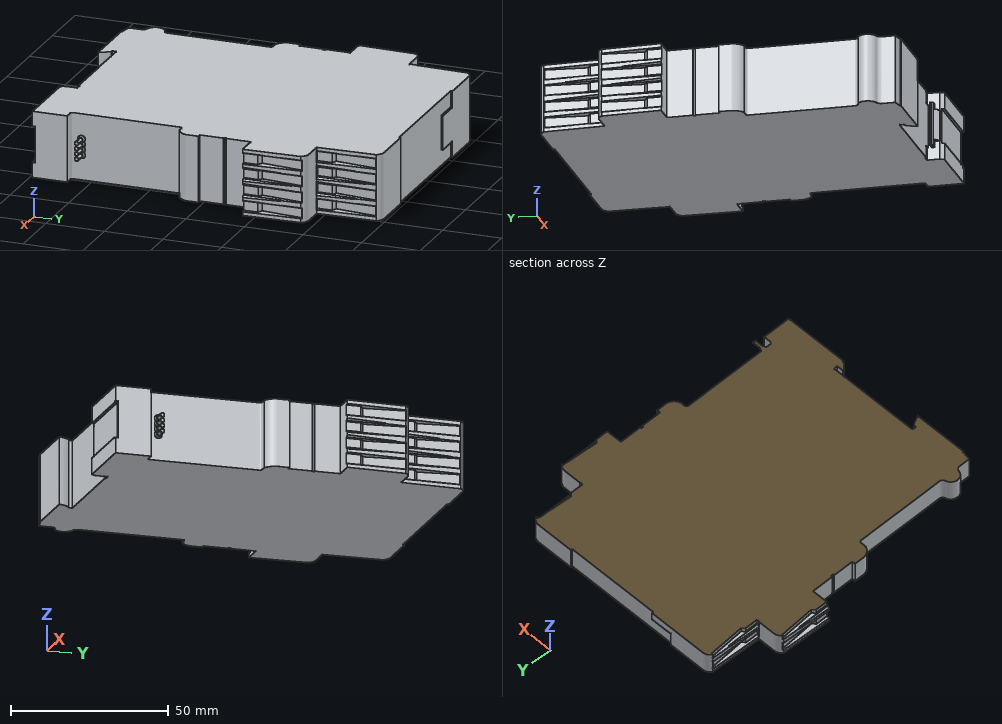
import cadquery as cq

thickness = 22.5
mid_z = thickness / 2
housing_top = 117.4
neck_half = 39.3
head_half = 43.7
shoulder_half = 45.0
shoulder_top = 57.6
shoulder_bottom = 49.9
shoulder_run, shoulder_drop = 2.8, 3.4
shoulder_radius = 4.7
inner_fillet = 0.7
groove_low, groove_high = 65.6, 66.4
groove_depth = 0.5

block_top = 118.0
tier_top = 96.3
block_bottom = 74.9
upper_half = 40.7
block_width = 101.8
lower_half = block_width / 2
tier_lean = 0.6
corner_drop = 1.7
corner_run = 2.8
corner_mid_drop = 0.5
corner_mid_run = 1.2
seat_bottom = 75.4
seat_mid = 96.6
seat_top = 116.2
seat_outer_half = 34.7
seat_inner_half = 24.9
cover_half = 22.7

slot_centers = (3.2, 8.5, thickness - 8.5, thickness - 3.2)
slot_half = 1.9
slot_length = 20.1
slot_ramp_end = 14.0
slot_step_end = 15.1
slot_start_depth = 1.2
slot_ramp_depth = 2.1
slot_end_depth = 1.0
slot_draft = 0.41
slot_tops = (116.2, 94.9)
flare_width = 0.5
flare_depth = 1.1
flare_near, flare_far = 3.4, 7.2

rail_ceiling = 5.2
rail_left = -17.7
rail_right = 17.7
hook_tip = -15.0
hook_top = 3.8
hook_curve = 0.7
hook_undercut = 1.9
lead_in = 0.8
lead_in_height = 1.4

bump_tip_half = 43.0
bump_root_half = 40.4
bump_y = 9.8
bump_half = 3.1
bump_blend = 1.3
bump_blend_sag = 0.2
foot_half = 42.8
foot_top = 11.9
toe_run, toe_rise = 3.8, 1.0
toe_step = 0.2

latch_width = 11.6
latch_recess = 0.8
latch_end = 42.0
latch_gap_depth = 1.0
latch_gap_margin = 0.4
catch_tip = 15.1
catch_top, catch_low = 3.9, 3.4
catch_root = 1.0
catch_width = 10.3
ear_width = 14.4
ear_bottom = 3.0
catch_notch_left = 15.3
catch_notch_top = 5.5

pin_diameter = 1.3
collar_diameter = 1.7
collar_root_diameter = 2.5
pin_y = 15.5
pin_tip = 43.7
collar_length = 1.0
pin_count = 4
pin_pitch = 1.8

lip_end = -14.2
lip_width = latch_width


def box(x0, x1, y0, y1, z0, z1):
    """Axis-aligned box between two corners."""
    return cq.Workplane("XY").box(x1 - x0, y1 - y0, z1 - z0, centered=False).translate((x0, y0, z0))


def mid_box(x0, x1, y0, y1, width):
    """Box of the given width, centred across the thickness."""
    return box(x0, x1, y0, y1, mid_z - width / 2, mid_z + width / 2)


def prism(points, width):
    """XY polygon extruded symmetrically about mid thickness."""
    plane = cq.Workplane("XY").workplane(offset=mid_z - width / 2)
    return plane.polyline(points).close().extrude(width)


def mirrored(shape):
    return shape.mirror("YZ")


def upper_housing():
    """Symmetric upper part of the housing: cover, block seats, head and shoulders."""
    curve_start = (shoulder_half, shoulder_bottom + shoulder_drop)
    curve_end = (shoulder_half - shoulder_run, shoulder_bottom)
    half = (
        cq.Workplane("XY")
        .moveTo(0, housing_top)
        .lineTo(cover_half, housing_top)
        .lineTo(cover_half, seat_top)
        .lineTo(seat_inner_half, seat_top)
        .lineTo(seat_inner_half, seat_mid)
        .lineTo(seat_outer_half, seat_mid)
        .lineTo(seat_outer_half, seat_bottom)
        .lineTo(head_half, seat_bottom)
        .lineTo(head_half, shoulder_top)
        .lineTo(shoulder_half, shoulder_top)
        .lineTo(*curve_start)
        .radiusArc(curve_end, shoulder_radius)
        .lineTo(0, shoulder_bottom)
        .close()
        .extrude(thickness)
    )
    groove = box(head_half - groove_depth, shoulder_half, groove_low, groove_high, 0, thickness)
    half = half.cut(groove)
    return half.union(mirrored(half))


def lower_housing():
    """Neck, release bump, rail recess with its fixed hook, and foot."""
    blend_x = -neck_half - bump_blend_sag
    blend_y = bump_half + bump_blend / 2
    outline = (
        cq.Workplane("XY")
        .moveTo(-neck_half - inner_fillet, shoulder_bottom)
        .radiusArc((-neck_half, shoulder_bottom - inner_fillet), inner_fillet)
        .lineTo(-neck_half, bump_y + bump_half + bump_blend)
        .threePointArc((blend_x, bump_y + blend_y), (-bump_root_half, bump_y + bump_half))
        .threePointArc((-bump_tip_half, bump_y), (-bump_root_half, bump_y - bump_half))
        .threePointArc((blend_x, bump_y - blend_y), (-neck_half, bump_y - bump_half - bump_blend))
        .lineTo(-neck_half, toe_rise)
        .lineTo(-neck_half + toe_run, toe_step)
        .lineTo(-neck_half + toe_run, 0)
        .lineTo(hook_tip, 0)
        .threePointArc((hook_tip - hook_curve, hook_top / 2), (hook_tip - hook_undercut, hook_top))
        .lineTo(rail_left, hook_top)
        .lineTo(rail_left, rail_ceiling)
        .lineTo(rail_right, rail_ceiling)
        .lineTo(rail_right, lead_in_height)
        .lineTo(rail_right + lead_in, 0)
        .lineTo(foot_half, 0)
        .lineTo(foot_half, foot_top)
        .lineTo(neck_half + inner_fillet, foot_top)
        .radiusArc((neck_half, foot_top + inner_fillet), inner_fillet)
        .lineTo(neck_half, shoulder_bottom - inner_fillet)
        .radiusArc((neck_half + inner_fillet, shoulder_bottom), inner_fillet)
        .close()
    )
    return outline.extrude(thickness)


def latch_pockets():
    """Shallow latch track in the foot, the gap at its end and the notches beside the catch."""
    track = mid_box(rail_right, foot_half, 0, latch_recess, latch_width)
    gap = mid_box(latch_end, foot_half, 0, latch_gap_depth, latch_width + 2 * latch_gap_margin)
    notch = mid_box(catch_notch_left, rail_right, rail_ceiling, catch_notch_top, thickness)
    bridge = mid_box(catch_notch_left, rail_right, rail_ceiling, catch_notch_top, ear_width)
    return track.union(gap).union(notch.cut(bridge))


def latch_catch():
    """Wedge that snaps over the rail, with a flat ear on each side."""
    wedge = [
        (catch_tip, catch_top),
        (catch_tip, catch_low),
        (rail_right, catch_root),
        (rail_right, catch_top),
    ]
    ears = [
        (catch_tip, catch_top),
        (catch_tip, catch_low),
        (catch_tip + catch_low - ear_bottom, ear_bottom),
        (rail_right, ear_bottom),
        (rail_right, catch_top),
    ]
    return prism(wedge, catch_width).union(prism(ears, ear_width))


def contact_pin(z):
    """Round pin along X on a tapered collar."""
    collar_plane = cq.Workplane("YZ", origin=(neck_half, pin_y, z))
    collar = (
        collar_plane.circle(collar_root_diameter / 2)
        .workplane(offset=collar_length)
        .circle(collar_diameter / 2)
        .loft()
    )
    pin = collar_plane.circle(pin_diameter / 2).extrude(pin_tip - neck_half)
    return collar.union(pin)


def corner_middle(wall, top):
    """Midpoint of a tier's rounded outer corner."""
    return wall - corner_mid_run, top - corner_mid_drop


def terminal_block():
    """Right-hand two-tier block, before its wire slots are cut."""
    upper_lean = upper_half - tier_lean
    lower_lean = lower_half - tier_lean
    outline = (
        cq.Workplane("XY")
        .moveTo(cover_half, seat_top)
        .lineTo(cover_half, block_top)
        .lineTo(upper_lean - corner_run, block_top)
        .threePointArc(corner_middle(upper_lean, block_top), (upper_lean, block_top - corner_drop))
        .lineTo(upper_half, tier_top)
        .lineTo(lower_lean - corner_run, tier_top)
        .threePointArc(corner_middle(lower_lean, tier_top), (lower_lean, tier_top - corner_drop))
        .lineTo(lower_half, block_bottom)
        .lineTo(head_half, block_bottom)
        .lineTo(head_half, seat_bottom)
        .lineTo(seat_outer_half, seat_bottom)
        .lineTo(seat_outer_half, seat_mid)
        .lineTo(seat_inner_half, seat_mid)
        .lineTo(seat_inner_half, seat_top)
        .close()
    )
    return outline.extrude(thickness)


def wire_slot(wall, top, z):
    """Drafted slot with a ramped floor that steps up to a shallow open end."""
    bottom = top - slot_length
    floor = [
        (wall, top),
        (wall - slot_start_depth, top),
        (wall - slot_ramp_depth, top - slot_ramp_end),
        (wall - slot_end_depth, top - slot_step_end),
        (wall - slot_end_depth, bottom),
        (wall, bottom),
    ]
    inner = slot_half - slot_draft
    section = [
        (wall, z - slot_half),
        (wall - slot_ramp_depth, z - inner),
        (wall - slot_ramp_depth, z + inner),
        (wall, z + slot_half),
    ]
    drafted = cq.Workplane("XZ", origin=(0, top, 0)).polyline(section).close().extrude(slot_length)
    return prism(floor, thickness).intersect(drafted)


def slot_flare(wall, top, z, start, side):
    """Sloping relief along one side of a middle slot; side is +1 or -1 along Z."""
    section = [
        (wall, z),
        (wall, z + side * (slot_half + flare_width)),
        (wall - flare_depth, z + side * (slot_half - slot_draft)),
        (wall - flare_depth, z),
    ]
    plane = cq.Workplane("XZ", origin=(0, top - start, 0))
    return plane.polyline(section).close().extrude(slot_length - start)


def slotted_block():
    block = terminal_block()
    for wall, top in zip((upper_half, lower_half), slot_tops):
        for z in slot_centers:
            block = block.cut(wire_slot(wall, top, z))
        for z in slot_centers[1:3]:
            inward = 1 if z < mid_z else -1
            block = block.cut(slot_flare(wall, top, z, flare_near, inward))
            block = block.cut(slot_flare(wall, top, z, flare_far, -inward))
    return block


housing = upper_housing().union(lower_housing())
housing = housing.cut(latch_pockets()).union(latch_catch())
for index in range(pin_count):
    housing = housing.union(contact_pin(mid_z + (index - (pin_count - 1) / 2) * pin_pitch))
housing = housing.union(mid_box(-cover_half, lip_end, housing_top, block_top, lip_width))

block = slotted_block()
result = housing.union(block, clean=False).union(mirrored(block), clean=False)